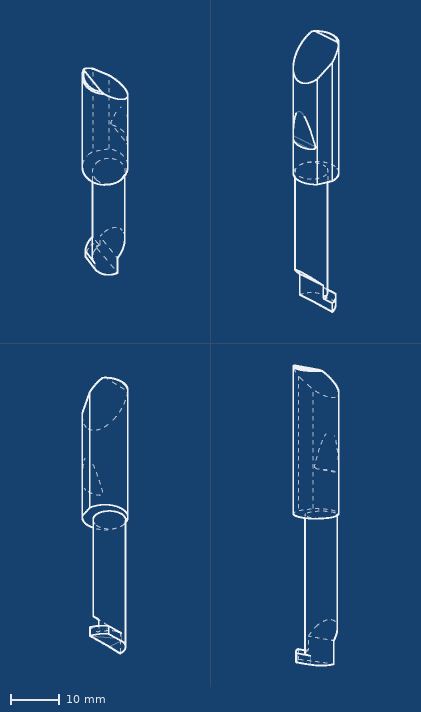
import cadquery as cq
import math

length = 63.5
shank_radius = 4.75
shank_bottom = 31.75

rim_chamfer_width = 0.3
rim_chamfer_height = 0.25
bevel_start_y = -3.0
flat_depth = 0.3
flat_angle = 158.0
notch_bottom = 40.2
notch_top = 48.65
notch_depth = 1.4
notch_corner_radius = 0.65

neck_radius = 3.4
neck_bottom = 0.25
neck_center_x = shank_radius - neck_radius
relief_bevel_bottom = 5.35

tip_x = -shank_radius
head_top = 2.15
nose_x = -2.85
nose_y = -3.0
nose_land_x = -2.5
nose_land_y = -3.25
flank_bulge = 0.25
head_end_x = 1.2
head_end_y = -math.sqrt(neck_radius**2 - (head_end_x - neck_center_x)**2)
side_rise = 0.2
end_rise = 0.25
ramp_height = 0.3
ramp_width = 0.75

cut_width = 4 * shank_radius


def side_prism(outline):
    """Extrude a closed (y, z) outline through the part along X."""
    return outline.close().extrude(cut_width / 2, both=True)


def make_shank():
    shank = (
        cq.Workplane("XY")
        .workplane(offset=shank_bottom)
        .circle(shank_radius)
        .extrude(length - shank_bottom)
    )
    shank = shank.faces(">Z").edges().chamfer(rim_chamfer_height, rim_chamfer_width)

    bevel_run = cut_width / 2
    bevel = side_prism(
        cq.Workplane("YZ")
        .moveTo(bevel_start_y, length)
        .lineTo(bevel_start_y + bevel_run, length)
        .lineTo(bevel_start_y + bevel_run, length - bevel_run)
    )

    flat = (
        cq.Workplane("XY")
        .box(shank_radius, cut_width, length, centered=(False, True, False))
        .translate((shank_radius - flat_depth, 0, 0))
        .rotate((0, 0, 0), (0, 0, 1), flat_angle)
    )

    notch = side_prism(
        cq.Workplane("YZ")
        .moveTo(shank_radius, notch_top)
        .lineTo(shank_radius - notch_depth, notch_bottom)
        .lineTo(shank_radius, notch_bottom)
    )
    notch = notch.edges("|X").edges("<Y").fillet(notch_corner_radius)
    return shank.cut(bevel).cut(flat).cut(notch)


def make_neck():
    neck = (
        cq.Workplane("XY")
        .workplane(offset=neck_bottom)
        .center(neck_center_x, 0)
        .circle(neck_radius)
        .extrude(shank_bottom - neck_bottom)
    )

    relief = side_prism(
        cq.Workplane("YZ")
        .lineTo(0, relief_bevel_bottom)
        .lineTo(shank_radius, relief_bevel_bottom + shank_radius)
        .lineTo(shank_radius, 0)
    )
    return neck.cut(relief)


def make_head():
    chord = math.hypot(nose_x - tip_x, nose_y)
    flank_middle = (
        (tip_x + nose_x) / 2 + flank_bulge * nose_y / chord,
        nose_y / 2 - flank_bulge * (nose_x - tip_x) / chord,
    )
    head = (
        cq.Workplane("XY")
        .moveTo(tip_x, 0)
        .threePointArc(flank_middle, (nose_x, nose_y))
        .lineTo(nose_land_x, nose_land_y)
        .lineTo(head_end_x, head_end_y)
        .lineTo(head_end_x, 0)
        .close()
        .extrude(head_top)
    )

    side_clearance = side_prism(
        cq.Workplane("YZ")
        .lineTo(head_end_y, side_rise)
        .lineTo(head_end_y, 0)
    )
    end_clearance = (
        cq.Workplane("XZ")
        .moveTo(tip_x, 0)
        .lineTo(head_end_x, end_rise)
        .lineTo(head_end_x, 0)
        .close()
        .extrude(cut_width / 2, both=True)
    )

    neck_left_x = neck_center_x - neck_radius
    ramp = (
        cq.Workplane("XZ")
        .moveTo(neck_left_x - ramp_height, head_top)
        .lineTo(neck_left_x, head_top + ramp_height)
        .lineTo(neck_left_x + ramp_height, head_top)
        .close()
        .extrude(ramp_width)
    )
    return head.cut(side_clearance).cut(end_clearance).union(ramp)


result = make_shank().union(make_neck()).union(make_head())